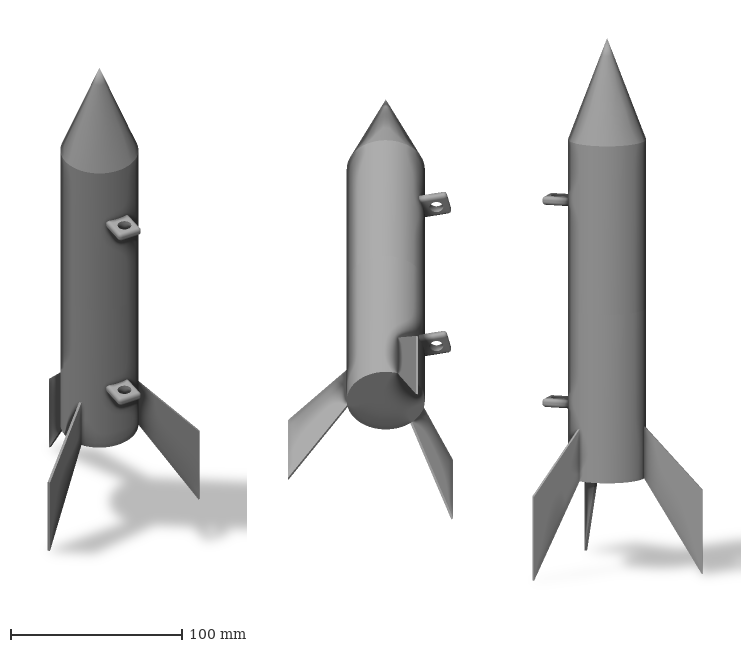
import cadquery as cq
import math

body_diameter = 45.6
body_radius = body_diameter / 2
tube_length = 100.0
nose_length = 60.0

fin_count = 3
first_fin_angle = 180.0
fin_thickness = 1.5
fin_tip_radius = 58.24
fin_tip_chord = 50.0
fin_tip_bottom = -54.67
fin_top_sweep = 45.0

lug_reach = 15.0
lug_width = 15.0
lug_height = 5.0
lug_fillet = 2.0
lug_hole_diameter = 8.0
lug_center_heights = (42.5, 162.5)


def make_tube(bottom):
    """One body tube section, standing on the given height."""
    return cq.Workplane("XY").workplane(offset=bottom).circle(body_radius).extrude(tube_length)


def make_nose_cone(base):
    """Pointed cone whose base matches the body diameter."""
    return cq.Workplane(cq.Solid.makeCone(body_radius, 0, nose_length, pnt=cq.Vector(0, 0, base)))


def fit_to_body(blank):
    """Trim a blank that starts inside the body so that it sits on the curved body wall."""
    body_envelope = cq.Workplane("XY").circle(body_radius).extrude(2 * tube_length)
    return blank.cut(body_envelope)


def make_fin(angle):
    """Swept fin whose trailing edge starts at the bottom rim of the lower tube."""
    root_radius = math.sqrt(body_radius**2 - fin_thickness**2)
    fin_tip_top = fin_tip_bottom + fin_tip_chord
    root_top = fin_tip_top + (fin_tip_radius - root_radius) * math.tan(math.radians(fin_top_sweep))
    blank = (
        cq.Workplane("XZ")
        .moveTo(root_radius, 0)
        .lineTo(fin_tip_radius, fin_tip_bottom)
        .lineTo(fin_tip_radius, fin_tip_top)
        .lineTo(root_radius, root_top)
        .close()
        .extrude(-fin_thickness)
    )
    return fit_to_body(blank).rotate((0, 0, 0), (0, 0, 1), angle)


def make_lug(center_height):
    """Launch lug on the +X side, with rounded outer edges and a vertical guide hole."""
    lug_end = body_radius + lug_reach
    hole_center = body_radius + lug_reach / 2
    blank = (
        cq.Workplane("XY")
        .box(lug_end, lug_width, lug_height, centered=(False, True, True))
        .edges("not(<X)")
        .fillet(lug_fillet)
        .translate((0, 0, center_height))
    )
    guide_hole = (
        cq.Workplane("XY")
        .center(hole_center, 0)
        .circle(lug_hole_diameter / 2)
        .extrude(lug_height, both=True)
        .translate((0, 0, center_height))
    )
    return fit_to_body(blank).cut(guide_hole)


lower_tube = make_tube(0)
upper_tube = make_tube(tube_length)
nose_cone = make_nose_cone(2 * tube_length)
fins = [make_fin(first_fin_angle + index * 360 / fin_count) for index in range(fin_count)]
lugs = [make_lug(height) for height in lug_center_heights]

result = cq.Compound.makeCompound(
    [
        lower_tube.val(),
        upper_tube.val(),
        nose_cone.val(),
        *[fin.val() for fin in fins],
        *[lug.val() for lug in lugs],
    ]
)